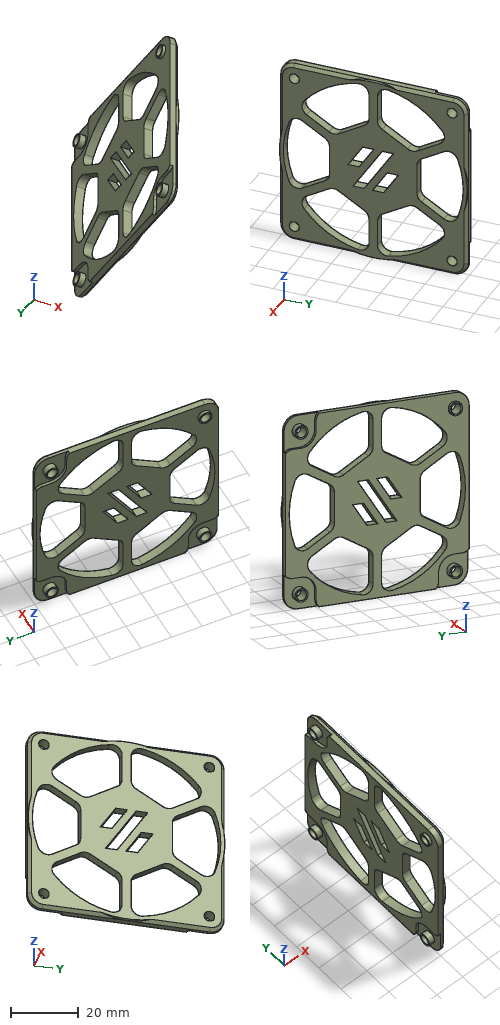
import cadquery as cq
import math

plate_size = 60.0
plate_thickness = 3.0
corner_radius = 4.5
front_layer = 1.0

screw_spacing = 50.5
screw_hole_diameter = 3.2
collar_diameter = 4.2
collar_height = 1.0

pocket_size = 10.0
pocket_depth = 1.0
pocket_inner_radius = 5.0
pocket_flare_radius = 3.0
pocket_flare_length = 2.2

window_count = 6
window_outer_radius = 28.75
hub_across_flats = 28.0
rib_width = 2.8
window_fillet = 3.0

slot_width = 3.5
slot_height = 14.0
slot_lean = 9.3
slot_pitch = 6.25

half_size = plate_size / 2
half_screw_spacing = screw_spacing / 2
hub_apothem = hub_across_flats / 2

corners = [(y_sign, z_sign) for y_sign in (-1, 1) for z_sign in (-1, 1)]
plain_corner = (-1, 1)


def yz_plane(x):
    """Sketch plane facing +X: local x is Y and local y is Z."""
    return cq.Workplane("YZ", origin=(x, 0, 0))


def make_plate():
    """Rounded square plate with chamfered front edge, plus the round rim on its front."""
    plate = (
        yz_plane(0)
        .rect(plate_size, plate_size)
        .extrude(plate_thickness)
        .edges("|X")
        .fillet(corner_radius)
        .faces(">X")
        .chamfer(front_layer)
    )
    rim = yz_plane(plate_thickness - front_layer).circle(half_size).extrude(front_layer)
    return plate.union(rim)


def make_pocket(y_sign, z_sign):
    """Corner pocket with a rounded inner corner and flared mouths at the plate edges."""
    inner = half_size - pocket_size
    bend = inner + pocket_inner_radius
    flare_start = half_size - pocket_flare_length
    flare_sweep = math.asin(pocket_flare_length / pocket_flare_radius)
    flare_end = inner - pocket_flare_radius * (1 - math.cos(flare_sweep))
    bend_mid = bend - pocket_inner_radius * math.sqrt(0.5)
    flare_mid_along = flare_start + pocket_flare_radius * math.sin(flare_sweep / 2)
    flare_mid_across = inner - pocket_flare_radius * (1 - math.cos(flare_sweep / 2))

    def at(y, z):
        return (y_sign * y, z_sign * z)

    return (
        yz_plane(0)
        .moveTo(*at(half_size, half_size))
        .lineTo(*at(half_size, flare_end))
        .threePointArc(at(flare_mid_along, flare_mid_across), at(flare_start, inner))
        .lineTo(*at(bend, inner))
        .threePointArc(at(bend_mid, bend_mid), at(inner, bend))
        .lineTo(*at(inner, flare_start))
        .threePointArc(at(flare_mid_across, flare_mid_along), at(flare_end, half_size))
        .close()
        .extrude(pocket_depth)
    )


def make_window(angle):
    """Air window between two ribs, from the hexagonal hub out to the ring."""
    half_step = math.pi / window_count
    half_rib = rib_width / 2
    inner_z = (hub_apothem * math.sin(half_step) - half_rib) / math.cos(half_step)
    outer_angle = half_step - math.asin(half_rib / window_outer_radius)
    outer_y = window_outer_radius * math.cos(outer_angle)
    outer_z = window_outer_radius * math.sin(outer_angle)
    return (
        yz_plane(0)
        .moveTo(hub_apothem, -inner_z)
        .lineTo(outer_y, -outer_z)
        .threePointArc((window_outer_radius, 0), (outer_y, outer_z))
        .lineTo(hub_apothem, inner_z)
        .close()
        .extrude(plate_thickness)
        .edges("|X")
        .fillet(window_fillet)
        .rotate((0, 0, 0), (1, 0, 0), angle)
    )


def make_slot(y_offset, z_bottom, z_top):
    """Slanted through slot with level ends; it leans toward +Y as it rises."""
    lean_per_height = slot_lean / slot_height
    y_bottom = y_offset + lean_per_height * z_bottom
    y_top = y_offset + lean_per_height * z_top
    half_width = slot_width / 2
    return (
        yz_plane(0)
        .polyline([
            (y_bottom - half_width, z_bottom),
            (y_bottom + half_width, z_bottom),
            (y_top + half_width, z_top),
            (y_top - half_width, z_top),
        ])
        .close()
        .extrude(plate_thickness)
    )


result = make_plate()

for corner in corners:
    if corner != plain_corner:
        result = result.cut(make_pocket(*corner))

for index in range(window_count):
    result = result.cut(make_window(index * 360 / window_count))

half_slot = slot_height / 2
result = result.cut(make_slot(0, -half_slot, half_slot))
result = result.cut(make_slot(-slot_pitch, 0, half_slot))
result = result.cut(make_slot(slot_pitch, -half_slot, 0))

screw_points = [(y * half_screw_spacing, z * half_screw_spacing) for y, z in corners]
collars = (
    yz_plane(-collar_height)
    .pushPoints(screw_points)
    .circle(collar_diameter / 2)
    .extrude(collar_height + pocket_depth)
)
screw_holes = (
    yz_plane(-collar_height)
    .pushPoints(screw_points)
    .circle(screw_hole_diameter / 2)
    .extrude(plate_thickness + collar_height)
)
result = result.union(collars).cut(screw_holes)